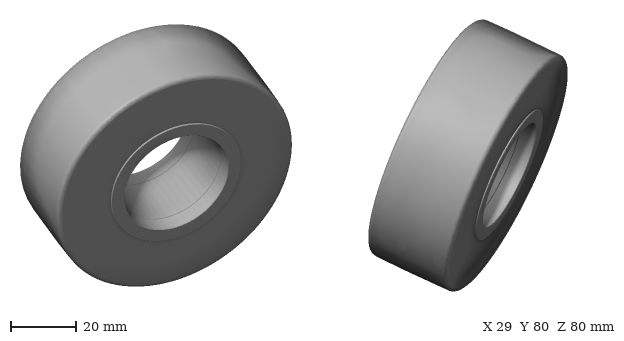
import cadquery as cq

outer_diameter = 80.0
bore_diameter = 35.0
overall_width = 29.0
tyre_width = 28.0
crown_radius = 500.0
edge_fillet = 1.4
hub_diameter = 44.0
hub_chamfer = 0.2

groove_depth = 0.2
groove_inset = 5.4

half_tyre = tyre_width / 2
half_width = overall_width / 2
bore_radius = bore_diameter / 2


def make_tyre():
    """Solid disc with a slightly crowned rim and rounded edges."""
    rim_radius = outer_diameter / 2
    crown_drop = crown_radius - (crown_radius**2 - half_tyre**2) ** 0.5
    edge_radius = rim_radius - crown_drop
    profile = (
        cq.Workplane("XY")
        .moveTo(-half_tyre, 0)
        .lineTo(-half_tyre, edge_radius)
        .threePointArc((0, rim_radius), (half_tyre, edge_radius))
        .lineTo(half_tyre, 0)
        .close()
    )
    tyre = profile.revolve(360, (0, 0, 0), (1, 0, 0))
    return tyre.faces("<X or >X").edges().fillet(edge_fillet)


def make_cylinder(diameter):
    """Cylinder along X over the whole width, centred on the origin."""
    return cq.Workplane("YZ").workplane(offset=-half_width).circle(diameter / 2).extrude(overall_width)


def make_groove(center_x):
    """Ring with a triangular section that cuts a V-groove into the bore wall."""
    section = [
        (center_x - groove_depth, bore_radius),
        (center_x, bore_radius + groove_depth),
        (center_x + groove_depth, bore_radius),
    ]
    return cq.Workplane("XY").polyline(section).close().revolve(360, (0, 0, 0), (1, 0, 0))


roller = make_tyre().union(make_cylinder(hub_diameter)).cut(make_cylinder(bore_diameter))

roller = roller.faces("<X or >X").edges().chamfer(hub_chamfer)

groove_x = half_width - groove_inset
for center_x in (-groove_x, groove_x):
    roller = roller.cut(make_groove(center_x))

result = roller